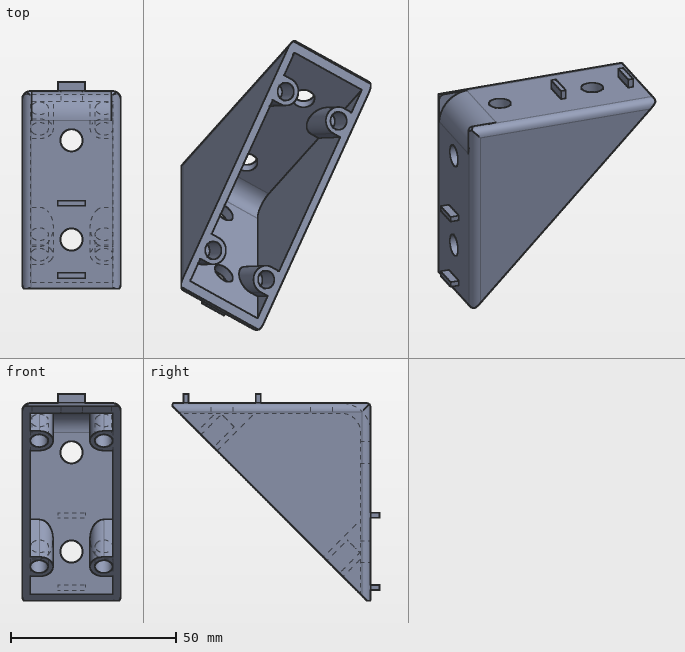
import cadquery as cq
import math

overall = 62.7
width = 30.0
tab_height = 2.7
leg = overall - tab_height
tip_thickness = 1.0
tip_radius = 0.5
heel_radius = 1.4
side_radius = 2.7

wall = 3.1
cavity_width = 24.95
heel_recess_width = 23.95
heel_recess_radius = 8.95

bolt_diameter = 6.65
bolt_positions = (15.0, 45.0)

tab_width = 8.2
tab_thickness = 1.55
tab_positions = (34.05, 55.9)

boss_radius = 4.2
boss_x = 9.8
boss_depths = (11.5, 49.6)
screw_diameter = 5.4
screw_depth = 8.8

slope_sum = leg + tip_thickness


def extrude_across(sketch, length):
    """Extrude a YZ sketch symmetrically about X = 0."""
    return sketch.extrude(length / 2, both=True)


def both_legs(feature):
    """Join a feature of the top leg with its mirror image on the back leg."""
    mirrored = feature.rotate((0, 0, 0), (0, 1, 1), 180)
    return feature.union(mirrored)


def heel_edge(depth):
    """Selector for the edge along X where Y and Z are both -depth."""
    margin = 0.05
    low = -depth - margin
    high = -depth + margin
    return cq.selectors.BoxSelector((-width, low, low), (width, high, high))


def make_envelope():
    """Truncated triangular block with rounded heel, tips and outer side edges."""
    outline = [
        (0, 0),
        (-leg, 0),
        (-leg, -tip_thickness),
        (-tip_thickness, -leg),
        (0, -leg),
    ]
    block = extrude_across(cq.Workplane("YZ").polyline(outline).close(), width)
    block = block.edges(heel_edge(0)).fillet(heel_radius)
    block = block.edges("|X and (<Y or <Z)").edges(">Z or >Y").fillet(tip_radius)
    top_rounding = (
        cq.Workplane("XY").box(width, leg, 2 * leg)
        .translate((0, -leg / 2, -leg))
        .edges("|Y and >Z").fillet(side_radius)
    )
    back_rounding = (
        cq.Workplane("XY").box(width, 2 * leg, leg)
        .translate((0, -leg, -leg / 2))
        .edges("|Z and >Y").fillet(side_radius)
    )
    return block.intersect(top_rounding).intersect(back_rounding)


def make_cavity():
    """Triangular hollow, open on the slope, with a round inner heel."""
    reach = slope_sum - wall
    sketch = cq.Workplane("YZ").polyline([(-wall, -wall), (-reach, -wall), (-wall, -reach)]).close()
    cavity = extrude_across(sketch, cavity_width)
    return cavity.edges(heel_edge(wall)).fillet(heel_recess_radius - wall)


def make_heel_recess():
    """Waste outside the large convex round between the two side plates."""
    r = heel_recess_radius
    middle = r * (1 - math.sqrt(0.5))
    sketch = (
        cq.Workplane("YZ").moveTo(0, 0).lineTo(-r, 0)
        .threePointArc((-middle, -middle), (0, -r)).close()
    )
    return extrude_across(sketch, heel_recess_width)


def slope_plane(x, depth):
    """Plane on the open slope whose normal points into the bracket."""
    return cq.Plane(origin=(x, depth - slope_sum, -depth), xDir=(1, 0, 0), normal=(0, 1, 1))


def make_boss(side, depth):
    """Screw boss square to the slope, joined to its side wall by a web."""
    plane = slope_plane(side * boss_x, depth)
    web_length = width / 2 - boss_x
    post = cq.Workplane(plane).circle(boss_radius).extrude(leg)
    web = (
        cq.Workplane(plane).center(side * web_length / 2, 0)
        .rect(web_length, 2 * boss_radius).extrude(leg)
    )
    return post.union(web)


def make_bolt_holes():
    points = [(0, -position) for position in bolt_positions]
    drill_depth = 2 * wall
    holes = cq.Workplane("XY").pushPoints(points).circle(bolt_diameter / 2).extrude(-drill_depth)
    return both_legs(holes)


def make_tabs():
    points = [(0, -position) for position in tab_positions]
    tabs = (
        cq.Workplane("XY").workplane(offset=-tip_thickness).pushPoints(points)
        .rect(tab_width, tab_thickness).extrude(tip_thickness + tab_height)
    )
    return both_legs(tabs)


cavity = make_cavity()
boss_places = [(side, depth) for side in (-1, 1) for depth in boss_depths]
for side, depth in boss_places:
    cavity = cavity.cut(make_boss(side, depth))

result = make_envelope().cut(cavity).cut(make_heel_recess()).cut(make_bolt_holes())
for side, depth in boss_places:
    screw_plane = slope_plane(side * boss_x, depth)
    result = result.cut(cq.Workplane(screw_plane).circle(screw_diameter / 2).extrude(screw_depth))
result = result.union(make_tabs())